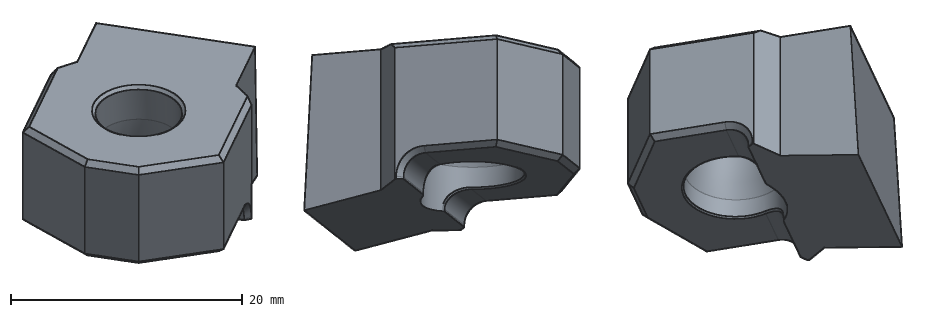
import cadquery as cq
import math

body_radius = 9.0
flat_angles = [0, -60, -90, -120, -180]
tang_end_y = 13.0
tang_half_width = 7.125
neck_y = 6.0

overall_height = 13.86
body_thickness = 10.0
end_taper = math.radians(3)
underside_slope = math.radians(10)
step_y = 3.5
step_fillet = 2.0
rim_chamfer = 0.5

bore_radius = 3.75
bore_chamfer = 0.3
seat_radius = 4.5
flare_start_depth = 3.36
flare_radius = 15.0
seat_edge_chamfer = 0.15

tolerance = 0.01


def plan_prism():
    """Prism over the plan outline, as deep as the whole part."""
    nose_half_width = body_radius * math.tan(math.radians(15))
    side_corner_y = -body_radius * math.tan(math.radians(30))
    shoulder_y = neck_y - (body_radius - tang_half_width)
    half_outline = [
        (nose_half_width, -body_radius),
        (body_radius, side_corner_y),
        (body_radius, shoulder_y),
        (tang_half_width, neck_y),
        (tang_half_width, tang_end_y),
    ]
    mirrored_half = [(-x, y) for x, y in reversed(half_outline)]
    return cq.Workplane("XY").polyline(half_outline + mirrored_half).close().extrude(-overall_height)


def side_profile_prism():
    """Side profile in the YZ plane, extruded across the full width."""
    top_end_y = tang_end_y - overall_height * math.tan(end_taper)
    wall_bottom_z = -overall_height + (tang_end_y - step_y) * math.tan(underside_slope)
    return (
        cq.Workplane("YZ")
        .moveTo(-body_radius, 0)
        .lineTo(top_end_y, 0)
        .lineTo(tang_end_y, -overall_height)
        .lineTo(step_y, wall_bottom_z)
        .lineTo(step_y, -body_thickness - step_fillet)
        .radiusArc((step_y - step_fillet, -body_thickness), -step_fillet)
        .lineTo(-body_radius, -body_thickness)
        .close()
        .extrude(body_radius, both=True)
    )


def hole_cutter():
    """Chamfered bore that flares along a tangent arc to the wider seat below."""
    flare_angle = math.acos(1 - (seat_radius - bore_radius) / flare_radius)
    flare_end_depth = flare_start_depth + flare_radius * math.sin(flare_angle)
    return (
        cq.Workplane("XZ")
        .lineTo(bore_radius + bore_chamfer, 0)
        .lineTo(bore_radius, -bore_chamfer)
        .lineTo(bore_radius, -flare_start_depth)
        .radiusArc((seat_radius, -flare_end_depth), -flare_radius)
        .lineTo(seat_radius, -overall_height)
        .lineTo(0, -overall_height)
        .close()
        .revolve(360, (0, 0, 0), (0, 1, 0))
    )


def is_on_top(edge):
    return edge.BoundingBox().zmin > -tolerance


def is_below_body(edge):
    """True for edges of the body underside, the step fillet and the step wall."""
    box = edge.BoundingBox()
    return box.zmax < -body_thickness + tolerance and box.ymax < step_y + tolerance


def is_on_body_flat(edge):
    middle = edge.positionAt(0.5)
    directions = [math.radians(angle) for angle in flat_angles]
    reach = max(middle.x * math.cos(a) + middle.y * math.sin(a) for a in directions)
    return reach > body_radius - tolerance


def is_on_seat(edge):
    middle = edge.positionAt(0.5)
    return abs(math.hypot(middle.x, middle.y) - seat_radius) < tolerance


def chamfer_rims(part):
    """Chamfer the top and bottom rims of the body flats."""
    rims = [
        edge for edge in part.edges().vals()
        if is_on_body_flat(edge) and (is_on_top(edge) or is_below_body(edge))
    ]
    return part.newObject(rims).chamfer(rim_chamfer)


def chamfer_seat_edge(part):
    """Chamfer the mouth of the seat, including where it cuts the step fillet and wall."""
    seat_edges = [edge for edge in part.edges().vals() if is_on_seat(edge) and is_below_body(edge)]
    return part.newObject(seat_edges).chamfer(seat_edge_chamfer)


body = chamfer_rims(plan_prism().intersect(side_profile_prism()))
result = chamfer_seat_edge(body.cut(hole_cutter()))